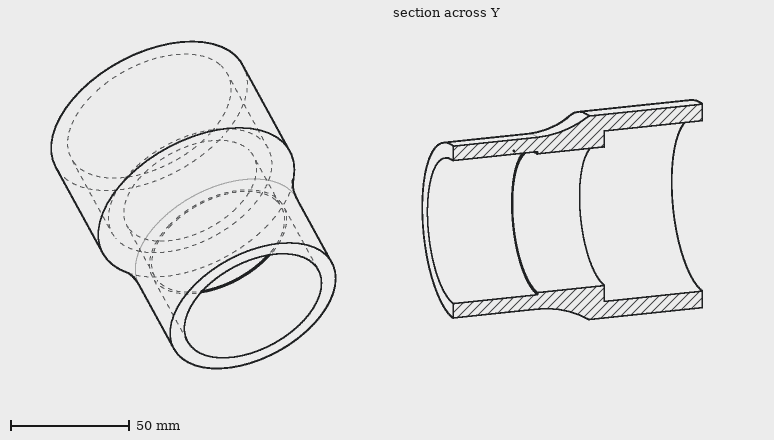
import cadquery as cq

length = 112.0

large_diameter = 90.0
large_length = 51.0
large_socket_diameter = 75.0
large_socket_depth = 44.0

small_diameter = 76.0
small_length = 37.9
small_socket_diameter = 63.0
small_socket_depth = small_length

bore_diameter = 61.0

neck_end = length - small_length
neck_drop = (large_diameter - small_diameter) / 2
neck_length = neck_end - large_length
neck_radius = (neck_length**2 + neck_drop**2) / (2 * neck_drop)
neck_middle_x = (large_length + neck_end) / 2
neck_center_y = small_diameter / 2 + neck_radius
neck_middle_y = neck_center_y - (neck_radius**2 - (neck_end - neck_middle_x) ** 2) ** 0.5


def make_body():
    """Solid reducer revolved about the X axis."""
    profile = (
        cq.Workplane("XY")
        .lineTo(0, large_diameter / 2)
        .lineTo(large_length, large_diameter / 2)
        .threePointArc((neck_middle_x, neck_middle_y), (neck_end, small_diameter / 2))
        .lineTo(length, small_diameter / 2)
        .lineTo(length, 0)
        .close()
    )
    return profile.revolve(360, (0, 0, 0), (1, 0, 0))


def make_cylinder(diameter, start, depth):
    """Cylinder on the X axis, running toward +X from start."""
    return cq.Workplane("YZ").workplane(offset=start).circle(diameter / 2).extrude(depth)


large_socket = make_cylinder(large_socket_diameter, 0, large_socket_depth)
small_socket = make_cylinder(small_socket_diameter, length - small_socket_depth, small_socket_depth)
bore = make_cylinder(bore_diameter, 0, length)
result = make_body().cut(large_socket).cut(small_socket).cut(bore)